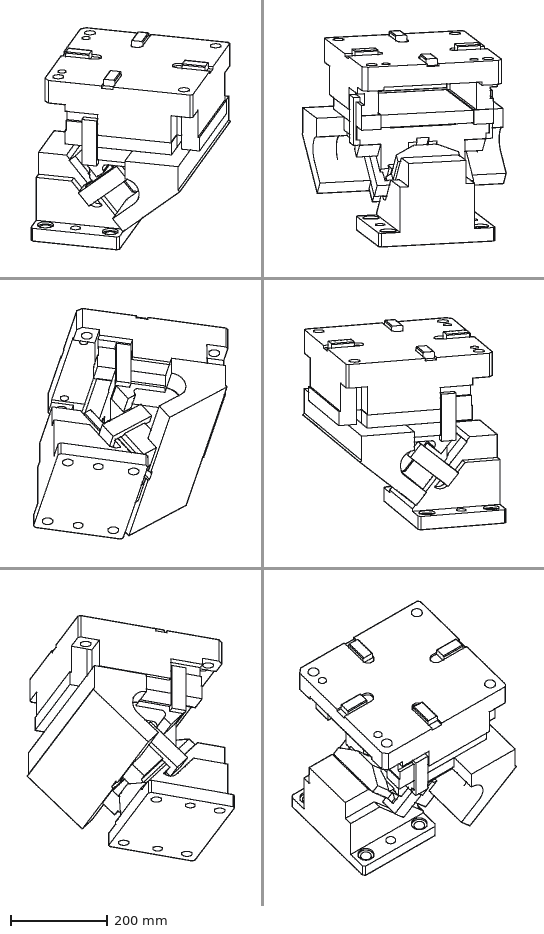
import cadquery as cq
import math


CAM_ANGLE = 50.0
COS = math.cos(math.radians(CAM_ANGLE))
SIN = math.sin(math.radians(CAM_ANGLE))

RIDGE_HALF = 25.0
RIDGE_N = 198.5
ROOF_SLOPE = 29.0
ROOF_BOTTOM_U = 77.5

BASE_LENGTH = 190.5
BASE_HALF = 125.0
BASE_HEIGHT = 29.0
BASE_CHAMFER = 5.0
DRIVER_HALF = 80.0
DRIVER_TOP = 174.0
NECK_HALF = 61.5
RAIL_HALF = 67.0
SHOULDER_Z = 125.0
SLOT_FLOOR_N = 138.5
SLOT_ROOF_N = 158.0
SLOT_ARC_U = 12.5
ROOF_TOP_U = -83.0
MOUNT_X = (25.0, 165.0)
DOWEL_X = 90.0
MOUNT_Y = 99.0
MOUNT_DIAMETER = 22.0
MOUNT_BORE_DIAMETER = 33.0
MOUNT_BORE_DEPTH = 5.0
BASE_DOWEL_DIAMETER = 20.0

WING_HALF = 200.0
WING_FRONT = 223.5
WING_BACK = 338.5
WING_INNER_HALF = 150.0
ARC_STEP = 1.5
WING_U = (49.5, 84.5)
WING_N = (216.0, 375.0)
DECK_Z = 233.0
FLANGE_Z = 193.0
FLANGE_HALF = 141.5
NOTCH_HALF = 135.0
NOTCH_Z = 205.0
WEB_HALF = 90.0
WEB_FRONT = 118.0
WEB_BOTTOM_N = 181.0
LEDGE_HALF = 83.5
LEDGE_N = 237.0
CAVITY_CHAMFER = 6.0
RELIEF_X = 167.0
RELIEF_RADIUS = 9.0
LUG_U = -31.0
LINER_TOP_U = -38.0
LINER_FOOT_N = 174.0
LINER_THICKNESS = 12.0
CHANNEL_HALF = 30.5
CHANNEL_N = 215.0
KEYWAY_HALF = 13.0
KEYWAY_N = 220.5
SLAB_HALF = 100.0
SLAB_FRONT = 87.0
SLAB_BACK = 308.0
SLAB_Z = (234.5, 261.0)
SLAB_POCKET_HALF = 70.0
SLAB_POCKET_Z = 226.5
SLAB_POCKET_DEPTH = 8.0

UPPER_HOOK_X = (117.0, 149.0)
UPPER_HOOK_Z = (193.5, 295.0)
UPPER_CATCH_Z = 285.0
UPPER_HOOK_HALF = (143.0, 149.0)
CAM_HOOK_U = (-21.5, 14.0)
CAM_HOOK_N = (145.0, 252.5)
CAM_HOOK_HALF = 103.5
CAM_HOOK_LOW_HALF = 84.5

PLATE_X = (35.0, 355.0)
PLATE_HALF = 150.0
PLATE_Z = (324.0, 375.0)
PLATE_FRONT_CHAMFER = 10.0
PLATE_BACK_CHAMFER = 5.0
LEG_X = (81.0, 309.5)
RAIL_X = (79.0, 308.0)
RAIL_TOP = 263.0
LEG_INNER = 105.0
CAVITY_TOP = 331.0
LEG_RECESS_X = 151.5
LEG_RECESS_Z = 309.5
STOP_HALF = 105.5
STOP_FRONT = 320.0
STOP_BACK = 358.5
WALL_FRONT = 300.0
WALL_CORNER = 5.0
PAD_HALF = 98.5
PAD_Z = (267.5, 320.0)
PAD_CHAMFER = 25.0
PAD_DEPTH = 4.0
CORNER_HOLE_INSET = 25.0
CORNER_HOLE_Y = 125.0
CORNER_HOLE_DIAMETER = 22.5
DOWEL_Y = 95.0
DOWEL_DIAMETER = 17.0
KEY_WIDTH = 25.0
KEY_LENGTH = 49.5
KEY_TOP = 384.0
KEY_CHAMFER = 2.0
KEYSEAT_DEPTH = 5.0
KEY_INSET_X = 10.0
KEY_INSET_Y = 15.0
KEYSEAT_LENGTH_X = 83.0
KEYSEAT_LENGTH_Y = 77.0
SIDE_KEY_X = 172.0

SIDES = (-1, 1)
OUTSIDE = 240.0
FAR_N = 280.0
FAR_U = 160.0


def slope_point(u, n):
    """(X, Z) of a point given in the cam frame."""
    return (u * COS + n * SIN, n * COS - u * SIN)


def n_line_at_z(n, z):
    """(X, Z) where the slope line at height n passes height z."""
    return ((n - z * COS) / SIN, z)


def n_line_at_x(n, x):
    """(X, Z) where the slope line at height n passes position x."""
    return (x, (n - x * SIN) / COS)


def roof_n(y):
    return RIDGE_N - (abs(y) - RIDGE_HALF) * math.tan(math.radians(ROOF_SLOPE))


def box(x_range, y_range, z_range):
    size = [r[1] - r[0] for r in (x_range, y_range, z_range)]
    corner = (x_range[0], y_range[0], z_range[0])
    return cq.Workplane("XY").box(*size, centered=False).translate(corner)


def side_y(side, inner, outer):
    """Y range between two distances from the middle plane."""
    return tuple(sorted((side * inner, side * outer)))


def thicken(profile, y_range):
    """Extrude a closed XZ profile over a range of Y."""
    return profile.extrude(y_range[0] - y_range[1]).translate((0, y_range[0], 0))


def slope_prism(yn_points, u_range):
    """Extrude a (y, n) polygon along the slope."""
    start_x, start_z = slope_point(u_range[0], 0)
    plane = cq.Plane(origin=(start_x, 0, start_z), xDir=(0, 1, 0), normal=(COS, 0, -SIN))
    return cq.Workplane(plane).polyline(yn_points).close().extrude(u_range[1] - u_range[0])


def mirrored(half_outline):
    """Close a half outline of (y, n) points with its mirror image."""
    return half_outline + [(-y, n) for y, n in reversed(half_outline)]


def make_driver_base():
    base = box((0, BASE_LENGTH), (-BASE_HALF, BASE_HALF), (0, BASE_HEIGHT))
    base = base.edges("|Z").chamfer(BASE_CHAMFER)
    mounts = [(x, side * MOUNT_Y) for x in MOUNT_X for side in SIDES]
    dowels = [(DOWEL_X, side * MOUNT_Y) for side in SIDES]
    base = base.faces(">Z").workplane(origin=(0, 0, BASE_HEIGHT)).pushPoints(mounts)
    base = base.cboreHole(MOUNT_DIAMETER, MOUNT_BORE_DIAMETER, MOUNT_BORE_DEPTH)
    base = base.faces(">Z").workplane(origin=(0, 0, BASE_HEIGHT)).pushPoints(dowels)
    return base.hole(BASE_DOWEL_DIAMETER)


def make_driver_wedge():
    eaves_n = roof_n(DRIVER_HALF)
    outline = [
        (0, 0),
        (BASE_LENGTH, 0),
        n_line_at_x(eaves_n, BASE_LENGTH),
        slope_point(ROOF_BOTTOM_U, eaves_n),
        slope_point(ROOF_BOTTOM_U, RIDGE_N),
        slope_point(ROOF_TOP_U, RIDGE_N),
        slope_point(ROOF_TOP_U, SLOT_ROOF_N),
        n_line_at_z(SLOT_ROOF_N, DRIVER_TOP),
        (0, DRIVER_TOP),
    ]
    profile = cq.Workplane("XZ").polyline(outline).close()
    wedge = thicken(profile, (-DRIVER_HALF, DRIVER_HALF))
    roof = [(DRIVER_HALF, -FAR_N), (DRIVER_HALF, eaves_n), (RIDGE_HALF, RIDGE_N)]
    return wedge.intersect(slope_prism(mirrored(roof), (-2 * FAR_U, 2 * FAR_U)))


def make_hook_slot(side):
    """Flank pocket above the shoulder that becomes a round-ended slot down the slope."""
    radius = SLOT_ROOF_N - SLOT_FLOOR_N
    end_middle = slope_point(SLOT_ARC_U + radius * math.sqrt(0.5), SLOT_ROOF_N - radius * math.sqrt(0.5))
    profile = (
        cq.Workplane("XZ")
        .moveTo(0, SHOULDER_Z)
        .lineTo(*n_line_at_z(SLOT_FLOOR_N, SHOULDER_Z))
        .lineTo(*slope_point(SLOT_ARC_U, SLOT_FLOOR_N))
        .threePointArc(end_middle, slope_point(SLOT_ARC_U + radius, SLOT_ROOF_N))
        .lineTo(*n_line_at_z(SLOT_ROOF_N, DRIVER_TOP))
        .lineTo(0, DRIVER_TOP)
        .close()
    )
    slot = thicken(profile, side_y(side, NECK_HALF, OUTSIDE))
    rail_side = [
        (side * RAIL_HALF, SLOT_ROOF_N),
        (side * OUTSIDE, SLOT_ROOF_N),
        (side * OUTSIDE, FAR_N),
        (side * RAIL_HALF, FAR_N),
    ]
    return slot.union(slope_prism(rail_side, (-FAR_U, CAM_HOOK_U[0])))


driver = make_driver_base().union(make_driver_wedge())
for side in SIDES:
    driver = driver.cut(make_hook_slot(side))


ARC_RADIUS = (WING_U[0] - WING_FRONT * COS + FLANGE_Z * SIN) / (1 + SIN)
ARC_CENTER = (WING_FRONT, FLANGE_Z - ARC_RADIUS)
ARC_START = (ARC_CENTER[0] + ARC_RADIUS * COS, ARC_CENTER[1] - ARC_RADIUS * SIN)
ARC_MIDDLE_ANGLE = math.radians((90 - CAM_ANGLE) / 2)
ARC_END = (WING_FRONT, FLANGE_Z)


def arc_middle(step):
    """Deepest point of the cavity arc, made shallower by a step."""
    reach = ARC_RADIUS - step
    return (
        ARC_CENTER[0] + reach * math.cos(ARC_MIDDLE_ANGLE),
        ARC_CENTER[1] + reach * math.sin(ARC_MIDDLE_ANGLE),
    )


def make_wing_part(y_range, step):
    profile = (
        cq.Workplane("XZ")
        .moveTo(WING_FRONT, DECK_Z)
        .lineTo(WING_BACK, DECK_Z)
        .lineTo(*n_line_at_x(WING_N[1], WING_BACK))
        .lineTo(*slope_point(WING_U[1], WING_N[1]))
        .lineTo(*slope_point(WING_U[1], WING_N[0]))
        .lineTo(*slope_point(WING_U[0], WING_N[0]))
        .lineTo(*ARC_START)
        .threePointArc(arc_middle(step), ARC_END)
        .close()
    )
    return thicken(profile, y_range)


def make_wings():
    wings = make_wing_part((-WING_INNER_HALF, WING_INNER_HALF), ARC_STEP)
    for side in SIDES:
        wings = wings.union(make_wing_part(side_y(side, WING_INNER_HALF, WING_HALF), 0.0))
    return wings


def make_web():
    outline = [
        (WEB_FRONT, DECK_Z),
        n_line_at_x(WEB_BOTTOM_N, WEB_FRONT),
        slope_point(ROOF_BOTTOM_U, WEB_BOTTOM_N),
        slope_point(ROOF_BOTTOM_U, WING_N[1]),
        (WING_BACK, DECK_Z),
    ]
    return thicken(cq.Workplane("XZ").polyline(outline).close(), (-WEB_HALF, WEB_HALF))


def make_lug():
    """Triangular rib under the front of the flange."""
    corner_u = (LUG_U + FLANGE_Z * SIN) / COS
    outline = [
        n_line_at_z(WING_N[0], FLANGE_Z),
        slope_point(LUG_U, WING_N[0]),
        (corner_u, FLANGE_Z),
    ]
    return thicken(cq.Workplane("XZ").polyline(outline).close(), (-NOTCH_HALF, NOTCH_HALF))


def make_cavity(side):
    """Hollow beside the web, with a round relief at its upper front corner."""
    relief_center = (RELIEF_X, FLANGE_Z - RELIEF_RADIUS)
    relief_u = relief_center[0] * COS - relief_center[1] * SIN
    profile = (
        cq.Workplane("XZ")
        .moveTo(RELIEF_X, FLANGE_Z)
        .lineTo(*relief_center)
        .lineTo(*slope_point(relief_u, LEDGE_N))
        .lineTo(*slope_point(WING_U[0] - CAVITY_CHAMFER, LEDGE_N))
        .lineTo(*slope_point(WING_U[0], LEDGE_N + CAVITY_CHAMFER))
        .lineTo(*ARC_START)
        .threePointArc(arc_middle(ARC_STEP), ARC_END)
        .close()
    )
    y_range = side_y(side, LEDGE_HALF, FLANGE_HALF)
    relief = cq.Workplane("XZ").center(*relief_center).circle(RELIEF_RADIUS)
    return thicken(profile, y_range).union(thicken(relief, y_range))


def make_flange():
    flange = box((WEB_FRONT, WING_FRONT), (-FLANGE_HALF, FLANGE_HALF), (NOTCH_Z, DECK_Z))
    neck = box((WEB_FRONT, WING_FRONT), (-NOTCH_HALF, NOTCH_HALF), (FLANGE_Z, NOTCH_Z))
    return flange.union(neck)


def make_roof_groove():
    half = [
        (DRIVER_HALF, roof_n(DRIVER_HALF)),
        (CHANNEL_HALF, roof_n(CHANNEL_HALF)),
        (CHANNEL_HALF, CHANNEL_N),
        (KEYWAY_HALF, CHANNEL_N),
        (KEYWAY_HALF, KEYWAY_N),
    ]
    return slope_prism(mirrored(half), (-FAR_U, FAR_U))


def make_liner(side):
    """Wear liner lying on one flank of the roof."""
    slope = math.radians(ROOF_SLOPE)
    foot_y = RIDGE_HALF + (RIDGE_N - LINER_FOOT_N) / math.tan(slope)
    top_n = LINER_THICKNESS / math.cos(slope)
    outline = [
        (side * foot_y, LINER_FOOT_N),
        (
            side * (foot_y + LINER_THICKNESS * math.sin(slope)),
            LINER_FOOT_N + LINER_THICKNESS * math.cos(slope),
        ),
        (side * CHANNEL_HALF, roof_n(CHANNEL_HALF) + top_n),
        (side * CHANNEL_HALF, roof_n(CHANNEL_HALF)),
    ]
    return slope_prism(outline, (LINER_TOP_U, ROOF_BOTTOM_U))


def make_slab():
    slab = box((SLAB_FRONT, SLAB_BACK), (-SLAB_HALF, SLAB_HALF), SLAB_Z)
    support_front = WEB_FRONT + SLAB_POCKET_DEPTH
    return slab.union(box((support_front, SLAB_BACK), (-SLAB_HALF, SLAB_HALF), (DECK_Z, SLAB_Z[0])))


def make_slab_pocket():
    pocket_x = (WEB_FRONT, WEB_FRONT + SLAB_POCKET_DEPTH)
    return box(pocket_x, (-SLAB_POCKET_HALF, SLAB_POCKET_HALF), (SLAB_POCKET_Z, DECK_Z))


def make_upper_hook(side):
    """C-shaped hook that hangs the slider in the holder legs."""
    hook = box(UPPER_HOOK_X, side_y(side, *UPPER_HOOK_HALF), UPPER_HOOK_Z)
    for lip_z in ((UPPER_HOOK_Z[0], NOTCH_Z), (UPPER_CATCH_Z, UPPER_HOOK_Z[1])):
        hook = hook.union(box(UPPER_HOOK_X, side_y(side, NOTCH_HALF, UPPER_HOOK_HALF[0]), lip_z))
    return hook


def make_cam_hook(side):
    """C-shaped hook from the ledge of the web into the slot of the driver."""
    low_n, high_n = CAM_HOOK_N
    outline = [
        (CAM_HOOK_HALF, low_n),
        (CAM_HOOK_HALF, high_n),
        (LEDGE_HALF, high_n),
        (LEDGE_HALF, LEDGE_N),
        (WEB_HALF, LEDGE_N),
        (WEB_HALF, WEB_BOTTOM_N),
        (CAM_HOOK_LOW_HALF, WEB_BOTTOM_N),
        (CAM_HOOK_LOW_HALF, SLOT_ROOF_N),
        (NECK_HALF, SLOT_ROOF_N),
        (NECK_HALF, low_n),
    ]
    return slope_prism([(side * y, n) for y, n in outline], CAM_HOOK_U)


slider = make_web().union(make_lug())
for side in SIDES:
    slider = slider.cut(make_cavity(side))
slider = slider.union(make_wings()).union(make_flange())
slider = slider.cut(make_roof_groove()).cut(make_slab_pocket())
slider = slider.union(make_slab())
for side in SIDES:
    slider = slider.union(make_liner(side))
    slider = slider.union(make_upper_hook(side)).union(make_cam_hook(side))


def make_plate():
    plate = box(PLATE_X, (-PLATE_HALF, PLATE_HALF), PLATE_Z)
    plate = plate.edges("|Z and <X").chamfer(PLATE_FRONT_CHAMFER)
    plate = plate.edges("|Z and >X").chamfer(PLATE_BACK_CHAMFER)
    tunnel = box((PLATE_X[0], WALL_FRONT), (-LEG_INNER, LEG_INNER), (PLATE_Z[0], CAVITY_TOP))
    front_x = PLATE_X[0] + CORNER_HOLE_INSET
    back_x = PLATE_X[1] - CORNER_HOLE_INSET
    corners = [(x, side * CORNER_HOLE_Y) for x in (front_x, back_x) for side in SIDES]
    dowels = [(front_x, side * DOWEL_Y) for side in SIDES]
    bottom = cq.Workplane("XY", origin=(0, 0, PLATE_Z[0]))
    thickness = PLATE_Z[1] - PLATE_Z[0]
    plate = plate.cut(bottom.pushPoints(corners).circle(CORNER_HOLE_DIAMETER / 2).extrude(thickness))
    plate = plate.cut(bottom.pushPoints(dowels).circle(DOWEL_DIAMETER / 2).extrude(thickness))
    return plate.cut(tunnel)


def make_leg(side):
    """Hanging leg, recessed at its front end for the upper hook."""
    leg = box(LEG_X, side_y(side, LEG_INNER, PLATE_HALF), (RAIL_TOP, PLATE_Z[0]))
    recess_x = (LEG_X[0], LEG_RECESS_X)
    leg = leg.cut(box(recess_x, side_y(side, FLANGE_HALF, PLATE_HALF), (RAIL_TOP, LEG_RECESS_Z)))
    return leg.cut(box(recess_x, side_y(side, NOTCH_HALF, PLATE_HALF), (UPPER_CATCH_Z, LEG_RECESS_Z)))


def make_rail(side):
    """Guide rail that carries a leg on the flange, beside the slab."""
    return box(RAIL_X, side_y(side, SLAB_HALF, FLANGE_HALF), (DECK_Z, RAIL_TOP))


def make_stop_wall():
    """Back wall of the holder with the stop lip behind the slider."""
    wall = box((WALL_FRONT, STOP_FRONT), (-LEG_INNER, LEG_INNER), (RAIL_TOP, CAVITY_TOP))
    stop = box((STOP_FRONT, PLATE_X[1]), (-STOP_HALF, STOP_HALF), (RAIL_TOP, CAVITY_TOP))
    lip = box((STOP_FRONT, STOP_BACK), (-STOP_HALF, STOP_HALF), (DECK_Z, RAIL_TOP))
    pad = box((WALL_FRONT - PAD_DEPTH, WALL_FRONT), (-PAD_HALF, PAD_HALF), PAD_Z)
    pad = pad.edges("|X and >Z").chamfer(PAD_CHAMFER)
    return wall.union(stop).union(lip).union(pad)


def make_wall_corner(side):
    """Bevel filling the corner between a leg and the back wall."""
    corner = [
        (WALL_FRONT, side * LEG_INNER),
        (WALL_FRONT - WALL_CORNER, side * LEG_INNER),
        (WALL_FRONT, side * (LEG_INNER - WALL_CORNER)),
    ]
    height = CAVITY_TOP - RAIL_TOP
    return cq.Workplane("XY", origin=(0, 0, RAIL_TOP)).polyline(corner).close().extrude(height)


def place_at_edge(shape, edge_x, edge_y, turn):
    """Turn a shape laid out along +X from the origin and move it to a plate edge."""
    return shape.rotate((0, 0, 0), (0, 0, 1), turn).translate((edge_x, edge_y, PLATE_Z[1] - KEYSEAT_DEPTH))


def make_keyseat(length):
    """Round-ended seat that is open at the plate edge."""
    straight = length - KEY_WIDTH / 2
    seat = box((0, straight), (-KEY_WIDTH / 2, KEY_WIDTH / 2), (0, KEYSEAT_DEPTH))
    return seat.union(cq.Workplane("XY").center(straight, 0).circle(KEY_WIDTH / 2).extrude(KEYSEAT_DEPTH))


def make_key(inset):
    height = KEY_TOP - PLATE_Z[1] + KEYSEAT_DEPTH
    key = box((inset, inset + KEY_LENGTH), (-KEY_WIDTH / 2, KEY_WIDTH / 2), (0, height))
    return key.edges("|X and >Z").chamfer(KEY_CHAMFER)


KEY_PLACES = [
    (PLATE_X[0], 0, 0, KEY_INSET_X, KEYSEAT_LENGTH_X),
    (PLATE_X[1], 0, 180, KEY_INSET_X, KEYSEAT_LENGTH_X),
    (SIDE_KEY_X, -PLATE_HALF, 90, KEY_INSET_Y, KEYSEAT_LENGTH_Y),
    (SIDE_KEY_X, PLATE_HALF, 270, KEY_INSET_Y, KEYSEAT_LENGTH_Y),
]

holder = make_plate().union(make_stop_wall())
for side in SIDES:
    holder = holder.union(make_leg(side)).union(make_rail(side)).union(make_wall_corner(side))
for edge_x, edge_y, turn, inset, seat_length in KEY_PLACES:
    holder = holder.cut(place_at_edge(make_keyseat(seat_length), edge_x, edge_y, turn))
    holder = holder.union(place_at_edge(make_key(inset), edge_x, edge_y, turn))

result = cq.Compound.makeCompound([body.solids().val() for body in (driver, slider, holder)])